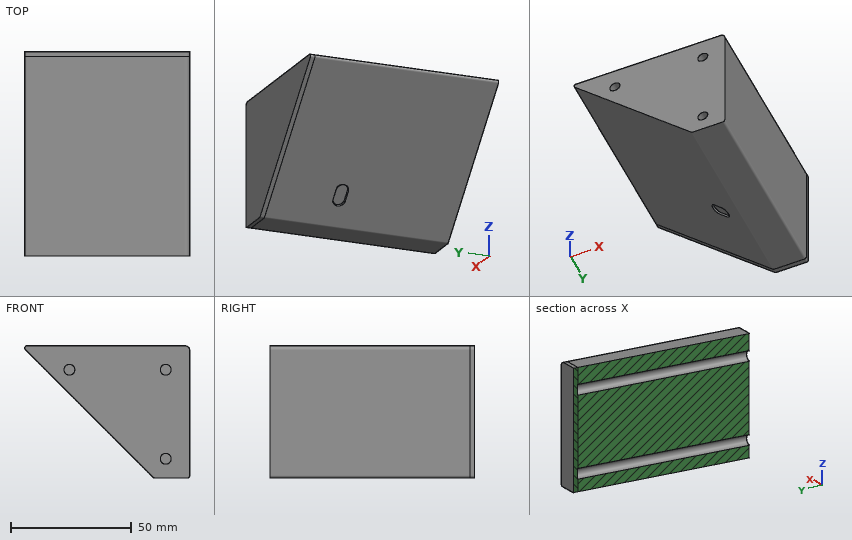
import cadquery as cq
import math

top_length = 70.0
height = 55.0
base_length = top_length - height
total_depth = 85.0
cover_thickness = 2.0
housing_depth = total_depth - cover_thickness

edge_radius = 1.0
rear_top_radius = 2.0

hole_diameter = 4.5
hole_inset = 10.0
upper_hole_z = height - hole_inset
lower_hole_z = 8.0
hole_spacing = 40.0
rear_hole_x = top_length - hole_inset
hole_centres = [
    (rear_hole_x - hole_spacing, upper_hole_z),
    (rear_hole_x, upper_hole_z),
    (rear_hole_x, lower_hole_z),
]

slot_length = 10.0
slot_width = 5.5
slot_from_base = 15.0
slot_y = 53.0
plug_clearance = 0.25
plug_length = slot_length - 2 * plug_clearance
plug_width = slot_width - 2 * plug_clearance
plug_recess = 0.75
plug_thickness = 2.0
slot_depth = plug_recess + plug_thickness

slope_step = slot_from_base * math.sqrt(0.5)
slot_centre = (height - slope_step, slot_y, slope_step)


def wedge(front_y, depth):
    """Wedge with a 45 degree underside, extruded toward +Y from front_y."""
    outline = [
        (0, height),
        (top_length, height),
        (top_length, 0),
        (top_length - base_length, 0),
    ]
    body = cq.Workplane("XZ", origin=(0, front_y, 0)).polyline(outline).close().extrude(-depth)
    rear_top_edge = body.edges("|Y").edges(">X").edges(">Z")
    body = rear_top_edge.fillet(rear_top_radius)
    tip_and_base_edges = body.edges("|Y").edges("<X or <Z")
    return tip_and_base_edges.fillet(edge_radius)


def oblong(length, width, start, depth):
    """Oblong prism square to the slope, beginning start below its surface."""
    slope_plane = cq.Plane(origin=slot_centre, xDir=(1, 0, -1), normal=(1, 0, 1))
    profile = cq.Workplane(slope_plane).workplane(offset=start).slot2D(length, width)
    return profile.extrude(depth)


def make_housing():
    holes = cq.Workplane("XZ").pushPoints(hole_centres).circle(hole_diameter / 2).extrude(-housing_depth)
    slot = oblong(slot_length, slot_width, 0, slot_depth)
    return wedge(0, housing_depth).cut(holes).cut(slot)


def make_cover():
    return wedge(housing_depth, cover_thickness)


def make_plug():
    return oblong(plug_length, plug_width, plug_recess, plug_thickness)


housing = make_housing()
cover = make_cover()
plug = make_plug()

result = cq.Compound.makeCompound([housing.val(), cover.val(), plug.val()])